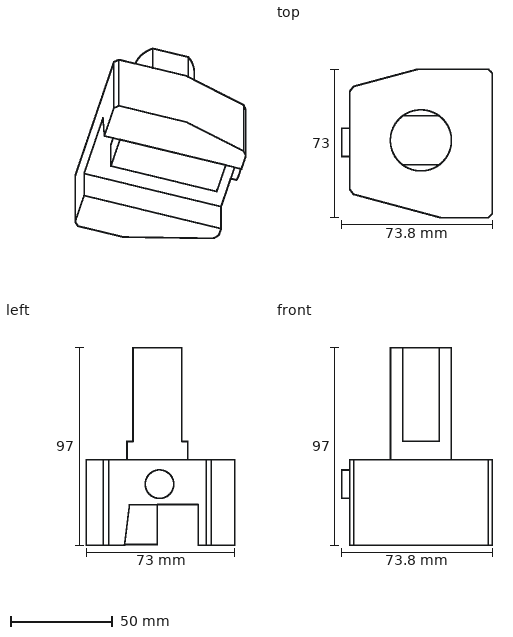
import cadquery as cq
import math


block_half_length = 35.0
block_back = 35.0
block_front = -38.0
block_height = 42.0
nose_half_width = 26.0
taper_angle = 15.0
corner_chamfer = 2.0

shank_diameter = 30.0
shank_length = 55.0
flat_spacing = 24.0
collar_length = 9.0

boss_diameter = 14.0
boss_projection = 3.85
boss_y = -1.0
boss_z = 30.0

slot_height = 20.0
slot_straight_wall = -20.0
slot_sloping_wall_top = 13.7
slot_wall_angle = 7.0

wedge_clamping_face = 0.0
wedge_inset = 8.0
wedge_bottom = 0.3


def sloping_wall_y(z):
    """Y position of the sloping slot wall at height z."""
    return slot_sloping_wall_top + (slot_height - z) * math.tan(math.radians(slot_wall_angle))


def extrude_along_x(profile, half_length):
    """Solid with the given (y, z) profile, centred on X = 0."""
    return cq.Workplane("YZ").polyline(profile).close().extrude(half_length, both=True)


def make_block():
    taper_slope = math.tan(math.radians(taper_angle))
    back_taper_end = -block_half_length + (block_back - nose_half_width) / taper_slope
    front_taper_end = -block_half_length + (-block_front - nose_half_width) / taper_slope
    outline = [
        (-block_half_length, -nose_half_width),
        (front_taper_end, block_front),
        (block_half_length, block_front),
        (block_half_length, block_back),
        (back_taper_end, block_back),
        (-block_half_length, nose_half_width),
    ]
    block = cq.Workplane("XY").polyline(outline).close().extrude(block_height)
    end_face_edges = block.edges("|Z and (<X or >X)")
    return end_face_edges.chamfer(corner_chamfer)


def make_shank():
    base = cq.Workplane("XY").workplane(offset=block_height)
    collar = base.circle(shank_diameter / 2).extrude(collar_length)
    rod = base.circle(shank_diameter / 2).extrude(shank_length)
    between_flats = base.rect(shank_diameter, flat_spacing).extrude(shank_length)
    return collar.union(rod.intersect(between_flats))


def make_boss():
    face = cq.Workplane("YZ", origin=(-block_half_length, boss_y, boss_z))
    return face.circle(boss_diameter / 2).extrude(-boss_projection)


def make_slot():
    profile = [
        (slot_straight_wall, 0),
        (sloping_wall_y(0), 0),
        (slot_sloping_wall_top, slot_height),
        (slot_straight_wall, slot_height),
    ]
    return extrude_along_x(profile, block_half_length)


def make_housing():
    return make_block().cut(make_slot()).union(make_shank()).union(make_boss())


def make_wedge():
    profile = [
        (wedge_clamping_face, wedge_bottom),
        (sloping_wall_y(wedge_bottom), wedge_bottom),
        (slot_sloping_wall_top, slot_height),
        (wedge_clamping_face, slot_height),
    ]
    return extrude_along_x(profile, block_half_length - wedge_inset)


housing = make_housing()
wedge = make_wedge()

result = cq.Compound.makeCompound([housing.val(), wedge.val()])